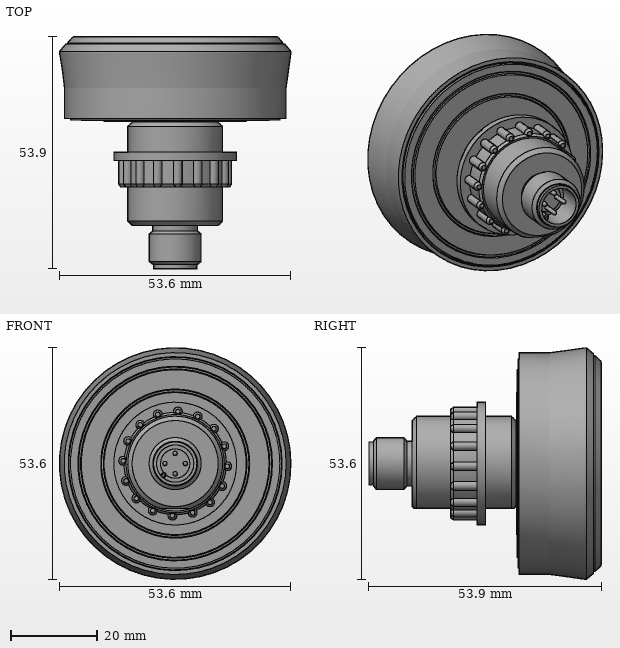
import cadquery as cq
import math


HEAD_BACK_R = 23.25
BACK_EDGE_R = 23.75
BACK_EDGE_DEPTH = 0.15
BACK_BEVEL_R = 25.0
BACK_BEVEL_DEPTH = 1.5
BAND_R = 25.4
BAND_END_DEPTH = 1.85
HEAD_R = 26.8
SHOULDER_DEPTH = 3.5
SHOULDER_WIDTH = 0.4
SKIRT_R = 25.7
SKIRT_DEPTH = 12.05
RIM_DEPTH = 19.05
RIM_INNER_R = 24.6
RIM_BEVEL = 0.15
CHANNEL_DEPTH = 18.4

DISC_R = 24.25
DISC_DEPTH = 19.4
DISC_STEP = 0.15
OUTER_GROOVE_R = 22.15
INNER_GROOVE_R = 16.85
GROOVE_WIDTH = 0.8
GROOVE_FLOOR_WIDTH = 0.45
GROOVE_CUT = 0.25

STEM_R = 11.0
STEM_CHAMFER = 1.0
STEM_SHOULDER_DEPTH = 20.9
STEM_END_DEPTH = 43.8
STEM_FLAT_Z = -10.4

CONNECTOR_NECK_R = 5.2
CONNECTOR_R = 6.05
CONNECTOR_CHAMFER_WIDTH = 0.7
CONNECTOR_START_DEPTH = 45.05
CONNECTOR_END_DEPTH = 52.8
TIP_BASE_R = 5.15
TIP_R = 5.0
TOTAL_LENGTH = 53.85
SOCKET_R = 4.3
SOCKET_CUT = 7.55
PLINTH_R = 3.4
PLINTH_HEIGHT = 0.5

CONTACT_COUNT = 4
CONTACT_CIRCLE_R = 2.35
CONTACT_R = 0.51
CONTACT_ROUND = 0.5
CONTACT_RECESS = 2.15
KEY_ANGLE = 225
KEY_CENTER_R = 3.7
KEY_NOSE_R = 0.55
KEY_CHAMFER = 0.25
KEY_RECESS = 0.85

FLANGE_R = 14.2
FLANGE_DEPTH = 26.8
FLANGE_WIDTH = 2.0
NUT_R = 11.85
NUT_END_DEPTH = 34.95
NUT_BEVEL_WIDTH = 0.7
NUT_BEVEL = 0.5
RIB_COUNT = 16
RIB_CIRCLE_R = 12.05
RIB_R = 1.0
RIB_START_ANGLE = -3


def turned(profile):
    """Revolve a closed outline of (radius, depth) points about the Y axis."""
    points = [(radius, -depth) for radius, depth in profile]
    return cq.Workplane("XY").polyline(points).close().revolve(360, (0, 0, 0), (0, 1, 0))


def front_plane(depth):
    """Workplane at a depth, facing the connector end, with local axes X and Z."""
    return cq.Workplane("XZ", origin=(0, -depth, 0))


def polar(radius, degrees):
    angle = math.radians(degrees)
    return radius * math.cos(angle), radius * math.sin(angle)


def groove(center_r, outer_depth):
    """Outline points, from outside inwards, of a groove whose inner lip is one step further forward."""
    half_width = GROOVE_WIDTH / 2
    half_floor = GROOVE_FLOOR_WIDTH / 2
    floor_depth = outer_depth - GROOVE_CUT
    return [
        (center_r + half_width, outer_depth),
        (center_r + half_floor, floor_depth),
        (center_r - half_floor, floor_depth),
        (center_r - half_width, outer_depth + DISC_STEP),
    ]


def make_head():
    middle_depth = DISC_DEPTH + DISC_STEP
    center_depth = middle_depth + DISC_STEP
    return turned([
        (0, 0),
        (HEAD_BACK_R, 0),
        (BACK_EDGE_R, BACK_EDGE_DEPTH),
        (BACK_BEVEL_R, BACK_BEVEL_DEPTH),
        (BACK_BEVEL_R, BAND_END_DEPTH),
        (BAND_R, BAND_END_DEPTH),
        (HEAD_R, SHOULDER_DEPTH),
        (HEAD_R, SHOULDER_DEPTH + SHOULDER_WIDTH),
        (SKIRT_R, SKIRT_DEPTH),
        (SKIRT_R, RIM_DEPTH),
        (RIM_INNER_R + RIM_BEVEL, RIM_DEPTH),
        (RIM_INNER_R, RIM_DEPTH - RIM_BEVEL),
        (RIM_INNER_R, CHANNEL_DEPTH),
        (DISC_R, CHANNEL_DEPTH),
        (DISC_R, DISC_DEPTH),
        *groove(OUTER_GROOVE_R, DISC_DEPTH),
        *groove(INNER_GROOVE_R, middle_depth),
        (0, center_depth),
    ])


def make_stem():
    end_r = STEM_R - STEM_CHAMFER
    stem = turned([
        (0, DISC_DEPTH),
        (end_r, DISC_DEPTH),
        (end_r, STEM_SHOULDER_DEPTH - STEM_CHAMFER),
        (STEM_R, STEM_SHOULDER_DEPTH),
        (STEM_R, STEM_END_DEPTH - STEM_CHAMFER),
        (end_r, STEM_END_DEPTH),
        (0, STEM_END_DEPTH),
    ])
    below_flat = (
        front_plane(DISC_DEPTH)
        .center(0, STEM_FLAT_Z - STEM_R / 2)
        .rect(2 * STEM_R, STEM_R)
        .extrude(STEM_END_DEPTH - DISC_DEPTH)
    )
    return stem.cut(below_flat)


def make_connector():
    floor_depth = TOTAL_LENGTH - SOCKET_CUT
    plinth_depth = floor_depth + PLINTH_HEIGHT
    return turned([
        (0, STEM_END_DEPTH),
        (CONNECTOR_NECK_R, STEM_END_DEPTH),
        (CONNECTOR_NECK_R, CONNECTOR_START_DEPTH),
        (CONNECTOR_R, CONNECTOR_START_DEPTH + CONNECTOR_CHAMFER_WIDTH),
        (CONNECTOR_R, CONNECTOR_END_DEPTH - CONNECTOR_CHAMFER_WIDTH),
        (TIP_BASE_R, CONNECTOR_END_DEPTH),
        (TIP_R, CONNECTOR_END_DEPTH),
        (TIP_R, TOTAL_LENGTH),
        (SOCKET_R, TOTAL_LENGTH),
        (SOCKET_R, floor_depth),
        (PLINTH_R, floor_depth),
        (PLINTH_R, plinth_depth),
        (0, plinth_depth),
    ])


def make_contact(index):
    length = SOCKET_CUT - CONTACT_RECESS
    return (
        front_plane(TOTAL_LENGTH - SOCKET_CUT)
        .center(*polar(CONTACT_CIRCLE_R, index * 360 / CONTACT_COUNT))
        .circle(CONTACT_R)
        .extrude(length)
        .faces("<Y")
        .edges()
        .fillet(CONTACT_ROUND)
    )


def make_key():
    """Round-nosed key running along the socket wall, its outer end buried in the wall."""
    wall_r = (SOCKET_R + TIP_R) / 2
    return (
        front_plane(TOTAL_LENGTH - SOCKET_CUT)
        .moveTo(wall_r, -KEY_NOSE_R)
        .lineTo(wall_r, KEY_NOSE_R)
        .lineTo(KEY_CENTER_R, KEY_NOSE_R)
        .threePointArc((KEY_CENTER_R - KEY_NOSE_R, 0), (KEY_CENTER_R, -KEY_NOSE_R))
        .close()
        .extrude(SOCKET_CUT - KEY_RECESS)
        .faces("<Y")
        .edges("not >X")
        .chamfer(KEY_CHAMFER)
        .rotate((0, 0, 0), (0, -1, 0), KEY_ANGLE)
    )


def make_housing():
    housing = make_head().union(make_stem()).union(make_connector()).union(make_key())
    for index in range(CONTACT_COUNT):
        housing = housing.union(make_contact(index))
    return housing


def make_rib(index):
    """Round grip rib along the nut, tapering at its free end like the nut body."""
    rib_start = FLANGE_DEPTH + FLANGE_WIDTH / 2
    bevel_start = NUT_END_DEPTH - NUT_BEVEL_WIDTH
    center = polar(RIB_CIRCLE_R, RIB_START_ANGLE + index * 360 / RIB_COUNT)
    bevel_angle = math.degrees(math.atan2(NUT_BEVEL, NUT_BEVEL_WIDTH))
    shank = front_plane(rib_start).center(*center).circle(RIB_R).extrude(bevel_start - rib_start)
    tip = front_plane(bevel_start).center(*center).circle(RIB_R).extrude(NUT_BEVEL_WIDTH, taper=bevel_angle)
    return shank.union(tip)


def make_nut():
    """Flanged nut whose round bore fits the stem, leaving a gap along the stem's flat."""
    nut = turned([
        (STEM_R, FLANGE_DEPTH),
        (FLANGE_R, FLANGE_DEPTH),
        (FLANGE_R, FLANGE_DEPTH + FLANGE_WIDTH),
        (NUT_R, FLANGE_DEPTH + FLANGE_WIDTH),
        (NUT_R, NUT_END_DEPTH - NUT_BEVEL_WIDTH),
        (NUT_R - NUT_BEVEL, NUT_END_DEPTH),
        (STEM_R, NUT_END_DEPTH),
    ])
    for index in range(RIB_COUNT):
        nut = nut.union(make_rib(index))
    return nut


housing = make_housing()
nut = make_nut()
result = cq.Compound.makeCompound([housing.val(), nut.val()])